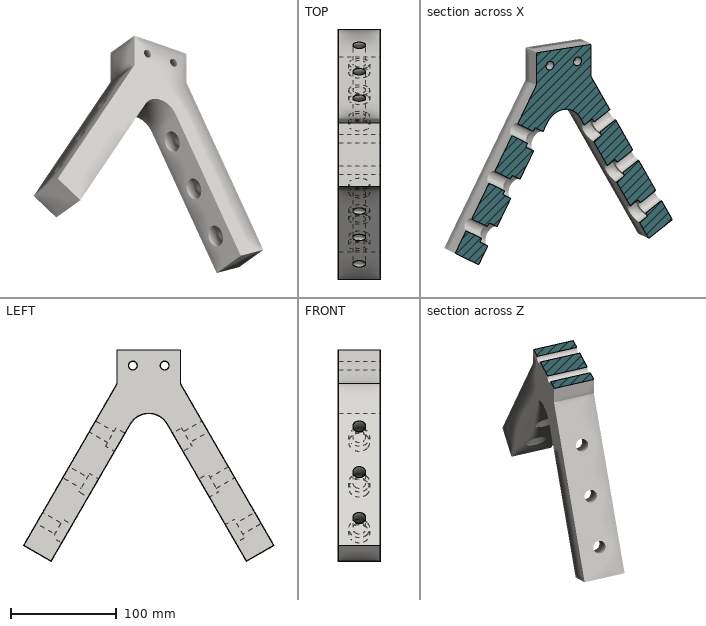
import cadquery as cq
import math

thickness = 40.0
spread = 236.7
height = 200.0

leg_angle = 30.0
leg_width = 30.0
crotch_radius = 20.1

head_width = 60.1
head_hole_diameter = 8.0
head_hole_spacing = 30.0
head_hole_depth = 15.0

leg_hole_diameter = 12.0
leg_hole_end_distance = 30.0
leg_hole_pitch = 50.0
leg_hole_count = 3
counterbore_diameter = 20.0
counterbore_depth = 10.0

sin_leg = math.sin(math.radians(leg_angle))
cos_leg = math.cos(math.radians(leg_angle))
tan_leg = math.tan(math.radians(leg_angle))

half_spread = spread / 2
half_head = head_width / 2
foot_outer_z = leg_width * sin_leg
foot_inner_y = half_spread - leg_width * cos_leg
shoulder_z = foot_outer_z + (half_spread - half_head) / tan_leg

inner_apex_z = foot_inner_y / tan_leg
arc_center_z = inner_apex_z - crotch_radius / sin_leg
tangent_y = crotch_radius * cos_leg
tangent_z = arc_center_z + crotch_radius * sin_leg


def make_body():
    """Inverted-V outline with a square head, extruded symmetrically along X."""
    return (
        cq.Workplane("YZ")
        .moveTo(half_head, height)
        .lineTo(half_head, shoulder_z)
        .lineTo(half_spread, foot_outer_z)
        .lineTo(foot_inner_y, 0)
        .lineTo(tangent_y, tangent_z)
        .threePointArc((0, arc_center_z + crotch_radius), (-tangent_y, tangent_z))
        .lineTo(-foot_inner_y, 0)
        .lineTo(-half_spread, foot_outer_z)
        .lineTo(-half_head, shoulder_z)
        .lineTo(-half_head, height)
        .close()
        .extrude(thickness / 2, both=True)
    )


def make_head_holes():
    """Pair of holes through the head along X."""
    hole_z = height - head_hole_depth
    return (
        cq.Workplane("YZ")
        .pushPoints([(side * head_hole_spacing / 2, hole_z) for side in (-1, 1)])
        .circle(head_hole_diameter / 2)
        .extrude(thickness, both=True)
    )


def make_leg_hole(side, distance):
    """Hole square to one leg, counterbored from the inner face.

    side is the sign of Y; distance is measured along the leg from its foot.
    """
    center_y = half_spread - leg_width / 2 * cos_leg - distance * sin_leg
    center_z = foot_outer_z / 2 + distance * cos_leg
    center = cq.Vector(0, side * center_y, center_z)
    outward = cq.Vector(0, side * cos_leg, sin_leg)
    through_start = center - outward * leg_width
    through_hole = cq.Solid.makeCylinder(leg_hole_diameter / 2, 2 * leg_width, through_start, outward)
    counterbore_floor = center - outward * (leg_width / 2 - counterbore_depth)
    counterbore = cq.Solid.makeCylinder(
        counterbore_diameter / 2, 2 * counterbore_depth, counterbore_floor, outward * -1
    )
    return through_hole.fuse(counterbore)


result = make_body().cut(make_head_holes())
for side in (-1, 1):
    for index in range(leg_hole_count):
        distance = leg_hole_end_distance + index * leg_hole_pitch
        result = result.cut(make_leg_hole(side, distance))